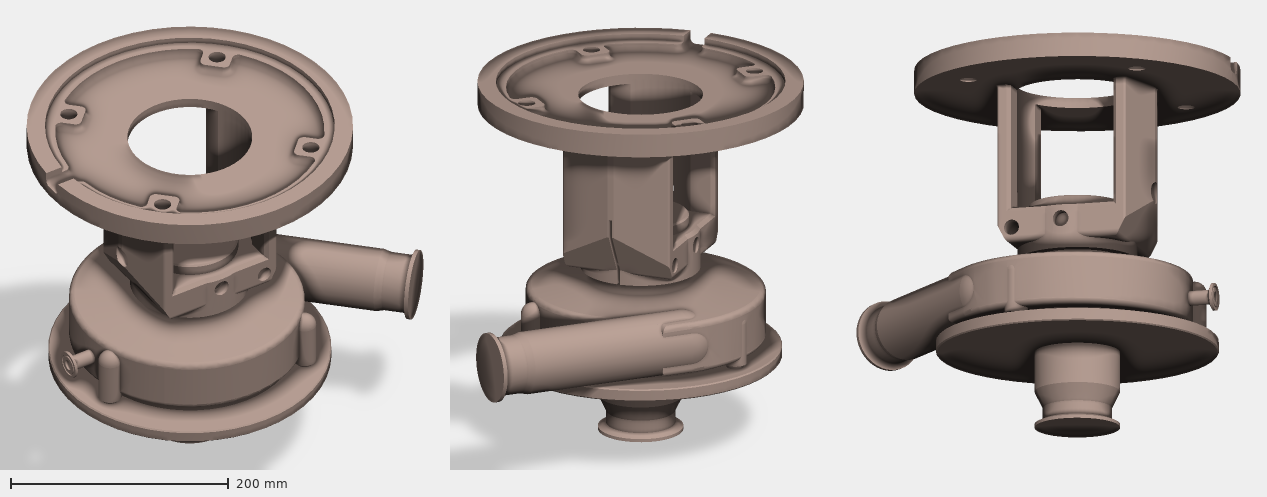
import cadquery as cq
import math

PLATE_BOTTOM = 71.0
PLATE_TOP = 82.5
CASING_BOTTOM = 90.7
RIM_TOP = 140.5
DOME_TOP = 146.0
RING_BOTTOM = 157.5
BRACKET_BOTTOM = 167.0
SILL = 199.0
SHAFT_TOP = 209.5
LEG_TAPER_TOP = 209.5
FLANGE_BOTTOM = 315.2
FLANGE_TOP = 337.5

CLEARANCE = 3.7
SELECTION_GAP = 0.5

FLANGE_RADIUS = 150.0
REGISTER_RADIUS = 133.0
REGISTER_DEPTH = 5.5
POCKET_RADIUS = 123.7
POCKET_DEPTH = 12.7
POCKET_FILLET = 5.2
POCKET_CORNER_RADIUS = 5.5
SHAFT_BORE_RADIUS = 57.5
BOLT_CIRCLE_RADIUS = 114.0
BOLT_HOLE_RADIUS = 8.0
LUG_WIDTH = 27.7
DRAIN_WIDTH = 20.2
DRAIN_INNER_Y = 112.5
LEG_ROOT_FILLET = 2.0

BRACKET_HALF_WIDTH = 53.0
LEG_SHOULDER_Y = 61.0
LEG_RIDGE_Y = 75.5
RIDGE_HALF_WIDTH = 3.0
LEG_EDGE_FILLET = 2.5
BRACKET_BOTTOM_FILLET = 5.2
LEG_TAPER_BOTTOM_Y = 53.0
WINDOW_HALF_WIDTH = 49.0
WINDOW_CHAMFER = 3.5
RING_RADIUS = 55.0
SIGHT_HOLE_RADIUS = 10.0
SIGHT_HOLE_Z = 216.3
SLIT_WIDTH = 3.5
SLIT_TOP = SIGHT_HOLE_Z + SIGHT_HOLE_RADIUS
CLAMP_HOLE_RADIUS = 7.0
CLAMP_HOLE_Y = 47.5
CLAMP_HOLE_Z = 180.3
RING_HOLE_RADIUS = 7.5
RING_HOLE_Z = 185.0

SHAFT_RADIUS = 44.5
SHAFT_CHAMFER = 1.5
NECK_RADIUS = 45.7
NECK_FLARE = 5.0

CASING_RADIUS = 105.7
VOLUTE_OUTLET_RADIUS = 119.2
VOLUTE_RUNOUT = 29.0
CASING_FILLET = 5.2
BASE_RADIUS = 97.0
PLATE_RADIUS = 130.0
PLATE_CHAMFER = 1.0

OUTLET_ANGLE = 45.0
OUTLET_OFFSET = 94.5
OUTLET_RADIUS = 29.0
OUTLET_Z = 115.0
OUTLET_FLANGE_RADIUS = 32.2
OUTLET_NECK_RADIUS = 27.0
OUTLET_TUBE_END = 158.0
OUTLET_NECK_START = 165.3
FERRULE_RIM = 3.7
FERRULE_FLARE = OUTLET_FLANGE_RADIUS - OUTLET_NECK_RADIUS
OUTLET_REACH_Y = 225.0
OUTLET_END = OUTLET_REACH_Y * math.sqrt(2) - OUTLET_OFFSET - OUTLET_FLANGE_RADIUS

INLET_RADIUS = 39.5
INLET_NECK_RADIUS = 32.0
INLET_TAPER_TOP = 33.7
INLET_TAPER_BOTTOM = 18.5
INLET_NECK_BOTTOM = 6.5
INLET_RIM = 3.0

NOZZLE_Z = 114.7
NOZZLE_RADIUS = 6.7
NOZZLE_RIM_RADIUS = 12.7
NOZZLE_BORE_RADIUS = 5.0
NOZZLE_BORE_DEPTH = 22.5
NOZZLE_END = 132.5
NOZZLE_RIM = 2.5
NOZZLE_CONE = 3.0
NOZZLE_SEAL_RADIUS = 9.5
NOZZLE_SEAL_WIDTH = 1.5
NOZZLE_SEAL_DEPTH = 1.0

POST_CIRCLE_RADIUS = 108.0
POST_RADIUS = 11.0
POST_ANGLES = (45, 165, 285)
POST_TOP = 137.0
POST_FOOT_RADIUS = 8.0
POST_FOOT_HEIGHT = 3.5


def cylinder(radius, bottom, top, x=0, y=0):
    """Vertical cylinder between two heights."""
    return cq.Workplane("XY", origin=(x, y, bottom)).circle(radius).extrude(top - bottom)


def cross_hole(radius, y, z):
    """Cylinder along X through the whole clamp ring."""
    start = -RING_RADIUS - CLEARANCE
    return cq.Workplane("YZ", origin=(start, y, z)).circle(radius).extrude(-2 * start)


def motor_flange():
    """Flange with a stepped recess, four bolt lugs and a drain channel towards -Y."""
    floor = FLANGE_TOP - POCKET_DEPTH
    ledge = FLANGE_TOP - REGISTER_DEPTH
    pocket = cylinder(POCKET_RADIUS, floor, FLANGE_TOP)
    for angle in (45, 135, 225, 315):
        lug_length = POCKET_RADIUS - BOLT_CIRCLE_RADIUS + LUG_WIDTH
        lug = (
            cq.Workplane("XY", origin=(0, 0, floor))
            .center(BOLT_CIRCLE_RADIUS + (lug_length - LUG_WIDTH) / 2, 0)
            .rect(lug_length, LUG_WIDTH)
            .extrude(POCKET_DEPTH)
            .rotate((0, 0, 0), (0, 0, 1), angle)
        )
        pocket = pocket.cut(lug)
    drain_length = FLANGE_RADIUS + CLEARANCE - DRAIN_INNER_Y
    drain = (
        cq.Workplane("XY", origin=(0, -DRAIN_INNER_Y - drain_length / 2, floor))
        .rect(DRAIN_WIDTH, drain_length)
        .extrude(POCKET_DEPTH)
    )
    pocket = pocket.union(drain)
    corner_zone = cq.selectors.BoxSelector(
        (-POCKET_RADIUS, -POCKET_RADIUS, floor),
        (POCKET_RADIUS, POCKET_RADIUS, FLANGE_TOP),
    )
    pocket = pocket.edges("|Z").edges(corner_zone).fillet(POCKET_CORNER_RADIUS)
    pocket = pocket.faces("<Z").edges().fillet(POCKET_FILLET)

    flange = cylinder(FLANGE_RADIUS, FLANGE_BOTTOM, FLANGE_TOP)
    flange = flange.cut(cylinder(REGISTER_RADIUS, ledge, FLANGE_TOP)).cut(pocket)
    flange = flange.cut(cylinder(SHAFT_BORE_RADIUS, FLANGE_BOTTOM, FLANGE_TOP))
    hole_offset = BOLT_CIRCLE_RADIUS / math.sqrt(2)
    hole_points = [(i * hole_offset, j * hole_offset) for i in (-1, 1) for j in (-1, 1)]
    for x, y in hole_points:
        flange = flange.cut(cylinder(BOLT_HOLE_RADIUS, FLANGE_BOTTOM, FLANGE_TOP, x, y))
    return flange


def leg_block():
    """Solid block with a ridge on both Y faces, tapered towards the clamp ring."""
    block = (
        cq.Workplane("XY", origin=(0, 0, BRACKET_BOTTOM))
        .moveTo(BRACKET_HALF_WIDTH, -LEG_SHOULDER_Y)
        .lineTo(BRACKET_HALF_WIDTH, LEG_SHOULDER_Y)
        .lineTo(RIDGE_HALF_WIDTH, LEG_RIDGE_Y)
        .lineTo(-RIDGE_HALF_WIDTH, LEG_RIDGE_Y)
        .lineTo(-BRACKET_HALF_WIDTH, LEG_SHOULDER_Y)
        .lineTo(-BRACKET_HALF_WIDTH, -LEG_SHOULDER_Y)
        .lineTo(-RIDGE_HALF_WIDTH, -LEG_RIDGE_Y)
        .lineTo(RIDGE_HALF_WIDTH, -LEG_RIDGE_Y)
        .close()
        .extrude(FLANGE_BOTTOM - BRACKET_BOTTOM)
    )
    side_profile = (
        cq.Workplane("YZ")
        .moveTo(-LEG_TAPER_BOTTOM_Y, BRACKET_BOTTOM)
        .lineTo(LEG_TAPER_BOTTOM_Y, BRACKET_BOTTOM)
        .lineTo(LEG_RIDGE_Y, LEG_TAPER_TOP)
        .lineTo(LEG_RIDGE_Y, FLANGE_BOTTOM)
        .lineTo(-LEG_RIDGE_Y, FLANGE_BOTTOM)
        .lineTo(-LEG_RIDGE_Y, LEG_TAPER_TOP)
        .close()
        .extrude(BRACKET_HALF_WIDTH, both=True)
    )
    block = block.edges("|Z").edges(">X or <X").fillet(LEG_EDGE_FILLET)
    block = block.intersect(side_profile)
    return block.faces("<Z").edges().fillet(BRACKET_BOTTOM_FILLET)


def bracket():
    """Legs and clamp ring with the side windows, bore, slit and holes."""
    body = leg_block().union(cylinder(RING_RADIUS, RING_BOTTOM, SILL))
    window_height = FLANGE_BOTTOM - SILL
    window = (
        cq.Workplane("XY", origin=(0, 0, SILL))
        .rect(4 * BRACKET_HALF_WIDTH, 2 * WINDOW_HALF_WIDTH)
        .extrude(window_height)
    )
    body = body.cut(window)
    for side in (-1, 1):
        inner_x = side * (BRACKET_HALF_WIDTH - SELECTION_GAP)
        outer_x = side * (RING_RADIUS + SELECTION_GAP)
        reach_y = WINDOW_HALF_WIDTH + SELECTION_GAP
        window_rim = cq.selectors.BoxSelector(
            (inner_x, -reach_y, SILL - SELECTION_GAP),
            (outer_x, reach_y, FLANGE_BOTTOM - SELECTION_GAP),
        )
        body = body.edges(window_rim).chamfer(WINDOW_CHAMFER)
    body = body.cut(cylinder(SHAFT_BORE_RADIUS, SILL, FLANGE_BOTTOM))

    sight_hole = (
        cq.Workplane("XZ", origin=(0, 0, SIGHT_HOLE_Z))
        .circle(SIGHT_HOLE_RADIUS)
        .extrude(LEG_RIDGE_Y)
        .cut(cylinder(SHAFT_RADIUS, RING_BOTTOM, FLANGE_BOTTOM))
    )
    slit = (
        cq.Workplane("XY", origin=(0, LEG_RIDGE_Y / 2, RING_BOTTOM))
        .rect(SLIT_WIDTH, LEG_RIDGE_Y)
        .extrude(SLIT_TOP - RING_BOTTOM)
    )
    body = body.cut(sight_hole).cut(slit)
    body = body.cut(cross_hole(CLAMP_HOLE_RADIUS, CLAMP_HOLE_Y, CLAMP_HOLE_Z))
    return body.cut(cross_hole(RING_HOLE_RADIUS, 0, RING_HOLE_Z))


def frame():
    """Motor flange and bracket, with a small fillet where each ridged face meets the flange."""
    body = motor_flange().union(bracket())
    for x_side in (-1, 1):
        for y_side in (-1, 1):
            leg_root = cq.selectors.BoxSelector(
                (x_side * RIDGE_HALF_WIDTH, y_side * LEG_SHOULDER_Y, FLANGE_BOTTOM - SELECTION_GAP),
                (x_side * BRACKET_HALF_WIDTH, y_side * LEG_RIDGE_Y, FLANGE_BOTTOM + SELECTION_GAP),
            )
            body = body.edges(leg_root).fillet(LEG_ROOT_FILLET)
    return body


def shaft_and_neck():
    """Shaft and the neck that flares out onto the casing dome."""
    return (
        cq.Workplane("XZ")
        .moveTo(0, CASING_BOTTOM)
        .lineTo(NECK_RADIUS + NECK_FLARE, CASING_BOTTOM)
        .lineTo(NECK_RADIUS + NECK_FLARE, DOME_TOP)
        .radiusArc((NECK_RADIUS, DOME_TOP + NECK_FLARE), NECK_FLARE)
        .lineTo(NECK_RADIUS, RING_BOTTOM)
        .lineTo(SHAFT_RADIUS, RING_BOTTOM)
        .lineTo(SHAFT_RADIUS, SHAFT_TOP - SHAFT_CHAMFER)
        .lineTo(SHAFT_RADIUS - SHAFT_CHAMFER, SHAFT_TOP)
        .lineTo(0, SHAFT_TOP)
        .close()
        .revolve(360, (0, 0), (0, 1))
    )


def casing_dome():
    """Shallow cone that limits the height of the casing, wider than the casing itself."""
    dome_inner = NECK_RADIUS + NECK_FLARE
    slope = (DOME_TOP - RIM_TOP) / (CASING_RADIUS - dome_inner)
    rim_radius = VOLUTE_OUTLET_RADIUS + VOLUTE_RUNOUT
    return (
        cq.Workplane("XZ")
        .moveTo(0, CASING_BOTTOM)
        .lineTo(rim_radius, CASING_BOTTOM)
        .lineTo(rim_radius, DOME_TOP - slope * (rim_radius - dome_inner))
        .lineTo(dome_inner, DOME_TOP)
        .lineTo(0, DOME_TOP)
        .close()
        .revolve(360, (0, 0), (0, 1))
    )


def volute():
    """Casing and outlet tube, with the outlet along local +X, then turned into place."""
    half_diameter = (VOLUTE_OUTLET_RADIUS + CASING_RADIUS) / 2
    center_y = (VOLUTE_OUTLET_RADIUS - CASING_RADIUS) / 2
    runout_y = math.sqrt(CASING_RADIUS**2 - VOLUTE_RUNOUT**2)
    casing = (
        cq.Workplane("XY", origin=(0, 0, CASING_BOTTOM))
        .moveTo(0, -CASING_RADIUS)
        .threePointArc((-half_diameter, center_y), (0, VOLUTE_OUTLET_RADIUS))
        .lineTo(VOLUTE_RUNOUT, VOLUTE_OUTLET_RADIUS)
        .lineTo(VOLUTE_RUNOUT, runout_y)
        .threePointArc((CASING_RADIUS, 0), (0, -CASING_RADIUS))
        .close()
        .extrude(DOME_TOP - CASING_BOTTOM)
    )
    rim_zone = cq.selectors.BoxSelector(
        (-FLANGE_RADIUS, -FLANGE_RADIUS, RIM_TOP - CLEARANCE),
        (FLANGE_RADIUS, FLANGE_RADIUS, RIM_TOP + SELECTION_GAP),
    )
    casing = casing.intersect(casing_dome())
    casing = casing.edges(rim_zone).fillet(CASING_FILLET)
    casing = casing.faces("<Z").edges().fillet(CASING_FILLET)
    rim_start = OUTLET_END - FERRULE_RIM
    tube = (
        cq.Workplane("XY", origin=(0, OUTLET_OFFSET, OUTLET_Z))
        .moveTo(-OUTLET_RADIUS, 0)
        .radiusArc((0, OUTLET_RADIUS), OUTLET_RADIUS)
        .lineTo(OUTLET_TUBE_END, OUTLET_RADIUS)
        .lineTo(OUTLET_NECK_START, OUTLET_NECK_RADIUS)
        .lineTo(rim_start - FERRULE_FLARE, OUTLET_NECK_RADIUS)
        .radiusArc((rim_start, OUTLET_FLANGE_RADIUS), -FERRULE_FLARE)
        .lineTo(OUTLET_END, OUTLET_FLANGE_RADIUS)
        .lineTo(OUTLET_END, 0)
        .close()
        .revolve(360, (0, 0), (1, 0))
    )
    return casing.union(tube).rotate((0, 0, 0), (0, 0, 1), OUTLET_ANGLE)


def base_and_inlet():
    """Base disc, mounting plate and the inlet pipe with its clamp rim."""
    plate = cylinder(PLATE_RADIUS, PLATE_BOTTOM, PLATE_TOP).edges().chamfer(PLATE_CHAMFER)
    pipe = (
        cq.Workplane("XZ")
        .lineTo(INLET_RADIUS, 0)
        .lineTo(INLET_RADIUS, INLET_RIM)
        .lineTo(INLET_NECK_RADIUS, INLET_NECK_BOTTOM)
        .lineTo(INLET_NECK_RADIUS, INLET_TAPER_BOTTOM)
        .lineTo(INLET_RADIUS, INLET_TAPER_TOP)
        .lineTo(INLET_RADIUS, PLATE_BOTTOM)
        .lineTo(0, PLATE_BOTTOM)
        .close()
        .revolve(360, (0, 0), (0, 1))
    )
    return plate.union(pipe).union(cylinder(BASE_RADIUS, PLATE_TOP, CASING_BOTTOM))


def bolt_post(angle):
    """Domed post on a narrower foot."""
    x = POST_CIRCLE_RADIUS * math.cos(math.radians(angle))
    y = POST_CIRCLE_RADIUS * math.sin(math.radians(angle))
    foot_top = PLATE_TOP + POST_FOOT_HEIGHT
    dome_center = POST_TOP - POST_RADIUS
    shank = cylinder(POST_RADIUS, foot_top, dome_center, x, y)
    dome = cq.Workplane("XY", origin=(x, y, dome_center)).sphere(POST_RADIUS)
    foot = cylinder(POST_FOOT_RADIUS, PLATE_TOP, foot_top, x, y)
    return shank.union(dome).union(foot)


def nozzle():
    """Small clamp nozzle pointing along -Y."""
    rim_start = NOZZLE_END - NOZZLE_RIM
    return (
        cq.Workplane("XY", origin=(0, 0, NOZZLE_Z))
        .moveTo(0, -BASE_RADIUS)
        .lineTo(NOZZLE_RADIUS, -BASE_RADIUS)
        .lineTo(NOZZLE_RADIUS, -rim_start + NOZZLE_CONE)
        .lineTo(NOZZLE_RIM_RADIUS, -rim_start)
        .lineTo(NOZZLE_RIM_RADIUS, -NOZZLE_END)
        .lineTo(0, -NOZZLE_END)
        .close()
        .revolve(360, (0, 0), (0, 1))
    )


def nozzle_cuts():
    """Bore and seal groove in the nozzle face."""
    face = cq.Workplane("XZ", origin=(0, -NOZZLE_END, NOZZLE_Z))
    bore = face.circle(NOZZLE_BORE_RADIUS).extrude(-NOZZLE_BORE_DEPTH)
    groove = (
        face.circle(NOZZLE_SEAL_RADIUS + NOZZLE_SEAL_WIDTH / 2)
        .circle(NOZZLE_SEAL_RADIUS - NOZZLE_SEAL_WIDTH / 2)
        .extrude(-NOZZLE_SEAL_DEPTH)
    )
    return bore.union(groove)


result = frame().union(shaft_and_neck()).union(volute())
result = result.union(base_and_inlet()).union(nozzle())
for post_angle in POST_ANGLES:
    result = result.union(bolt_post(post_angle))
result = result.cut(nozzle_cuts())